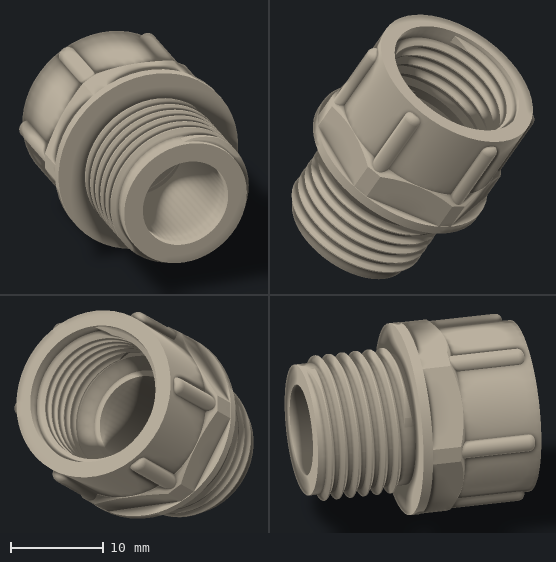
import cadquery as cq
import math

total_length = 24.5
sleeve_length = 8.53
hex_end = 12.45
flange_end = 13.52

sleeve_diameter = 18.77
hex_across_flats = 18.91
hex_across_corners = 20.82
hex_chamfer_length = 0.74
flange_diameter = 21.0
spigot_diameter = 14.33

rib_count = 6
rib_diameter = 1.95
rib_start = 0.75
rib_nose_radius = 0.7
rib_center_radius = 9.29

through_diameter = 9.97
socket_diameter = 15.35
socket_depth = 10.0
seat_diameter = 11.25
seat_depth = 11.45

thread_pitch = 1.5
thread_root_width = 1.03
thread_crest_width = 0.15
thread_embed = 0.1
sections_per_ramp = 5

spigot_crest_diameter = 15.83
spigot_thread_start = 14.2
spigot_thread_start_angle = -72.0
spigot_thread_turns = 6.2
spigot_ramp = [(0, 0.03), (8, 0.35), (34, 1)]

socket_crest_diameter = 13.8
socket_thread_start = 0.95
socket_thread_turns = 6.0
socket_ramp = [(0, 0.03), (15, 1)]


def cylinder(diameter, start, end):
    return cq.Workplane("YZ").workplane(offset=start).circle(diameter / 2).extrude(end - start)


def cone(start_diameter, end_diameter, start, end):
    profile = [(start, 0), (start, start_diameter / 2), (end, end_diameter / 2), (end, 0)]
    return cq.Workplane("XY").polyline(profile).close().revolve(360, (0, 0), (1, 0))


def hex_collar():
    """Hexagon with flats facing +Z and -Z, flattened corners and a chamfered front."""
    length = hex_end - sleeve_length

    def prism(across_flats):
        corner_diameter = across_flats / math.cos(math.pi / 6)
        return cq.Workplane("YZ").workplane(offset=sleeve_length).polygon(6, corner_diameter).extrude(length)

    corner_cut = prism(hex_across_corners).rotate((0, 0, 0), (1, 0, 0), 30)
    collar = prism(hex_across_flats).intersect(corner_cut)
    slope = (hex_across_corners - hex_across_flats) / hex_chamfer_length
    chamfer = cone(hex_across_flats, hex_across_flats + slope * length, sleeve_length, hex_end)
    return collar.intersect(chamfer)


def grip_rib(angle):
    rib = cylinder(rib_diameter, rib_start, sleeve_length + hex_chamfer_length)
    rib = rib.faces("<X").edges().fillet(rib_nose_radius)
    return rib.translate((0, rib_center_radius, 0)).rotate((0, 0, 0), (1, 0, 0), angle)


def thread_section(root_radius, full_height, height, x, angle):
    """Axial section of the ridge, cut off at height; negative heights point towards the axis."""
    embed = math.copysign(thread_embed, height)
    flank_run = (thread_root_width - thread_crest_width) / 2 / abs(full_height)
    half_base = thread_root_width / 2 + flank_run * thread_embed
    half_crest = thread_root_width / 2 - flank_run * abs(height)
    base = root_radius - embed
    crest = root_radius + height
    turn = math.radians(angle)
    plane = cq.Plane(
        origin=(x, 0, 0),
        xDir=(1, 0, 0),
        normal=(0, -math.cos(turn), -math.sin(turn)),
    )
    points = [
        (-half_base, base),
        (half_base, base),
        (half_crest, crest),
        (-half_crest, crest),
    ]
    return cq.Workplane(plane).polyline(points).close()


def thread(root_radius, full_height, start, start_angle, turns, ramp):
    """Helical ridge that fades out at both ends.

    ramp lists (angle from the tip, share of the full height) and ends at full height.
    """
    end_angle = start_angle + 360 * turns
    taper_angle = ramp[-1][0]
    full_start = start_angle + taper_angle

    def x_at(angle):
        return start + thread_pitch * (angle - start_angle) / 360

    def section_at(angle, share):
        return thread_section(root_radius, full_height, share * full_height, x_at(angle), angle)

    length = x_at(end_angle - taper_angle) - x_at(full_start)
    helix = cq.Wire.makeHelix(thread_pitch, length, root_radius)
    helix = helix.rotate(cq.Vector(0, 0, 0), cq.Vector(0, 1, 0), 90)
    helix = helix.rotate(cq.Vector(0, 0, 0), cq.Vector(1, 0, 0), 180 + full_start)
    helix = helix.translate(cq.Vector(x_at(full_start), 0, 0))
    ridge = section_at(full_start, 1).sweep(cq.Workplane(helix), isFrenet=True)

    for tip, direction in ((start_angle, 1), (end_angle, -1)):
        for (near, low), (far, high) in zip(ramp, ramp[1:]):
            wires = []
            for i in range(sections_per_ramp):
                part = i / (sections_per_ramp - 1)
                angle = tip + direction * (near + part * (far - near))
                wires.append(section_at(angle, low + part * (high - low)).val())
            ridge = ridge.union(cq.Workplane(cq.Solid.makeLoft(wires)))
    return ridge


body = cylinder(sleeve_diameter, 0, sleeve_length).union(hex_collar())
for i in range(rib_count):
    body = body.union(grip_rib(i * 360 / rib_count))
body = body.union(cylinder(flange_diameter, hex_end, flange_end))
body = body.union(cylinder(spigot_diameter, flange_end, total_length))

body = body.cut(cylinder(through_diameter, 0, total_length))
body = body.cut(cylinder(socket_diameter, 0, socket_depth))
body = body.cut(cone(socket_crest_diameter, seat_diameter, socket_depth, seat_depth))

spigot_thread = thread(
    spigot_diameter / 2,
    (spigot_crest_diameter - spigot_diameter) / 2,
    spigot_thread_start,
    spigot_thread_start_angle,
    spigot_thread_turns,
    spigot_ramp,
)
socket_thread = thread(
    socket_diameter / 2,
    (socket_crest_diameter - socket_diameter) / 2,
    socket_thread_start,
    0,
    socket_thread_turns,
    socket_ramp,
)
result = body.union(spigot_thread).union(socket_thread)